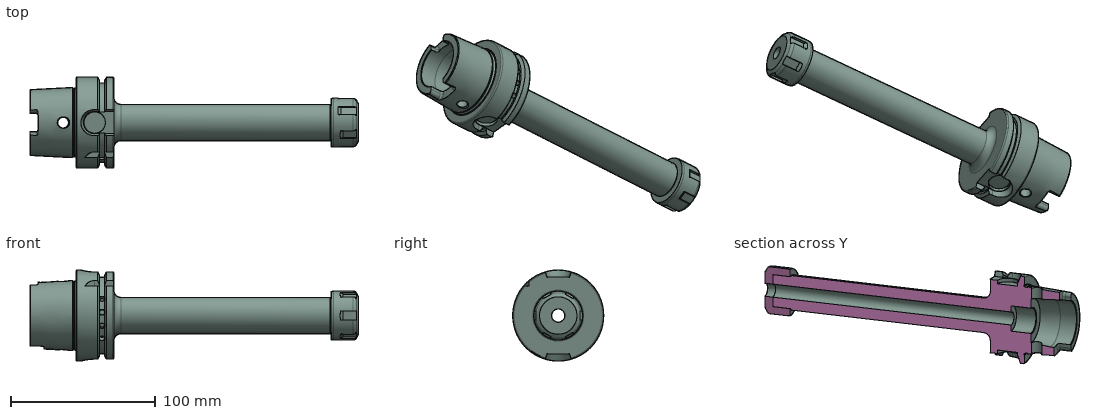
import cadquery as cq
import math


shank_length = 32.0
shank_end_radius = 22.8
shank_root_radius = 24.3
shank_edge_chamfer = 0.6
shank_taper = (shank_root_radius - shank_end_radius) / shank_length
relief_width = 2.6
relief_depth = 0.6
relief_floor_width = 0.7
face_recess_radius = 25.1
face_recess_depth = 0.4

entry_radius = 17.0
entry_chamfer = 0.4
entry_depth = 12.5
bore_depth = 27.0
bore_end_radius = 15.6
socket_radius = 8.9
socket_chamfer = 0.4
socket_depth = 15.0
coolant_radius = 4.5

drive_slot_half_width = 6.3
drive_slot_flare = 3.0
drive_slot_flare_start = 18.2
drive_slot_corner = 1.5
upper_drive_slot_depth = 5.7
lower_drive_slot_depth = 9.7
drive_slot_reach = shank_root_radius + 1.0

clamp_hole_radius = 3.7
clamp_sink_radius = 4.2
clamp_hole_x = -9.0

flange_radius = 31.5
flange_width = 26.0
flange_edge_round = 0.9
groove_x = 17.9
groove_rim_half_width = 3.1
groove_floor_half_width = 1.7
groove_shoulder_radius = 29.1
groove_floor_radius = 27.5

keyway_floor = 26.5
keyway_end_x = 12.8
keyway_half_width = 7.7
keyway_draft = 20.0
keyway_pocket_radius = 7.4
keyway_pocket_depth = 2.5

notch_offset = 20.25
notch_end_x = 12.7
notch_end_radius = 7.3

balance_hole_radius = 1.9
balance_hole_depth = 4.0
balance_hole_count = 4
balance_hole_pitch = 20.0
first_balance_angle = -35.0

shaft_radius = 12.6
shaft_fillet = 5.0

total_front_x = 195.2
nut_length = 19.0
nut_radius = 17.0
nut_rear_chamfer = 0.3
nut_rear_chamfer_length = 1.6
nut_front_cone_angle = math.radians(60)
nut_front_cone_length = 1.6
nut_shoulder_round = 2.6
nut_lip_thickness = 6.0

nut_slot_count = 6
nut_slot_width = 6.2
nut_slot_floor = 15.2
nut_slot_ramp = 2.1
nut_slot_length = 12.8
long_nut_slot_length = 14.4

nut_rear_x = total_front_x - nut_length
spigot_radius = 11.7
spigot_end_x = total_front_x - nut_lip_thickness
shaft_end_chamfer = shaft_radius - spigot_radius


def revolve_about_x(profile):
    return profile.close().revolve(360, (0, 0, 0), (1, 0, 0))


def holder_blank():
    """Turned outside of the shank, flange, shaft and spigot."""
    rim_left = groove_x - groove_rim_half_width
    rim_right = groove_x + groove_rim_half_width
    floor_left = groove_x - groove_floor_half_width
    floor_right = groove_x + groove_floor_half_width
    root_x = -relief_width
    arc_offset = shaft_fillet * (1 - math.sqrt(0.5))
    profile = (
        cq.Workplane("XY")
        .moveTo(-shank_length, 0)
        .lineTo(-shank_length, shank_end_radius - shank_edge_chamfer)
        .lineTo(-shank_length + shank_edge_chamfer, shank_end_radius)
        .lineTo(root_x, shank_root_radius)
        .lineTo(root_x + relief_depth, shank_root_radius - relief_depth)
        .lineTo(root_x + relief_depth + relief_floor_width, shank_root_radius - relief_depth)
        .lineTo(face_recess_depth, shank_root_radius)
        .lineTo(face_recess_depth, face_recess_radius)
        .lineTo(0, face_recess_radius)
        .lineTo(0, flange_radius)
        .lineTo(rim_left, flange_radius)
        .lineTo(floor_left, groove_shoulder_radius)
        .lineTo(floor_left, groove_floor_radius)
        .lineTo(floor_right, groove_floor_radius)
        .lineTo(floor_right, groove_shoulder_radius)
        .lineTo(rim_right, flange_radius)
        .lineTo(flange_width, flange_radius)
        .lineTo(flange_width, shaft_radius + shaft_fillet)
        .threePointArc(
            (flange_width + arc_offset, shaft_radius + arc_offset),
            (flange_width + shaft_fillet, shaft_radius),
        )
        .lineTo(nut_rear_x - shaft_end_chamfer, shaft_radius)
        .lineTo(nut_rear_x, spigot_radius)
        .lineTo(spigot_end_x, spigot_radius)
        .lineTo(spigot_end_x, 0)
    )
    blank = revolve_about_x(profile)
    for edge_x in (0, flange_width):
        rim = cq.selectors.BoxSelector(
            (edge_x - 0.1, -flange_radius - 1, -flange_radius - 1),
            (edge_x + 0.1, flange_radius + 1, flange_radius + 1),
            boundingbox=True,
        )
        rim_edge = blank.edges("%CIRCLE").edges(rim).edges(cq.selectors.RadiusNthSelector(-1))
        blank = rim_edge.fillet(flange_edge_round)
    return blank


def holder_bore():
    """Shank interior, coolant socket and the through hole."""
    end_x = -shank_length
    bore_floor_x = end_x + bore_depth
    socket_floor_x = bore_floor_x + socket_depth
    profile = (
        cq.Workplane("XY")
        .moveTo(end_x, 0)
        .lineTo(end_x, entry_radius + entry_chamfer)
        .lineTo(end_x + entry_chamfer, entry_radius)
        .lineTo(end_x + entry_depth, entry_radius)
        .lineTo(bore_floor_x, bore_end_radius)
        .lineTo(bore_floor_x, socket_radius + socket_chamfer)
        .lineTo(bore_floor_x + socket_chamfer, socket_radius)
        .lineTo(socket_floor_x, socket_radius)
        .lineTo(socket_floor_x, coolant_radius)
        .lineTo(spigot_end_x, coolant_radius)
        .lineTo(spigot_end_x, 0)
    )
    return revolve_about_x(profile)


def drive_slot(depth):
    """Slot in the +Z side of the shank end; its walls curve outwards towards the outside."""
    half = drive_slot_half_width
    outer = half + drive_slot_flare
    flare_top = drive_slot_flare_start + drive_slot_flare
    mid_y = half + drive_slot_flare * (1 - math.sqrt(0.5))
    mid_z = drive_slot_flare_start + drive_slot_flare * math.sqrt(0.5)
    return (
        cq.Workplane("YZ", origin=(-shank_length, 0, 0))
        .moveTo(-half, 0)
        .lineTo(-half, drive_slot_flare_start)
        .threePointArc((-mid_y, mid_z), (-outer, flare_top))
        .lineTo(-outer, drive_slot_reach)
        .lineTo(outer, drive_slot_reach)
        .lineTo(outer, flare_top)
        .threePointArc((mid_y, mid_z), (half, drive_slot_flare_start))
        .lineTo(half, 0)
        .close()
        .extrude(depth)
        .edges("|Z and >X")
        .fillet(drive_slot_corner)
    )


def clamp_hole():
    """Radial hole through the +Z shank wall, countersunk at the outside."""
    surface_z = shank_root_radius + clamp_hole_x * shank_taper
    sink_depth = clamp_sink_radius - clamp_hole_radius
    hole = cq.Workplane("XY", origin=(clamp_hole_x, 0, 0)).circle(clamp_hole_radius).extrude(surface_z)
    countersink = cq.Solid.makeCone(
        clamp_hole_radius,
        clamp_sink_radius + sink_depth,
        2 * sink_depth,
        cq.Vector(clamp_hole_x, 0, surface_z - sink_depth),
        cq.Vector(0, 0, 1),
    )
    return hole.union(cq.Workplane(countersink))


def keyway():
    """Drafted keyway in the +Z side of the flange, with its round pocket."""
    run_out = flange_width + flange_radius
    height = flange_radius - keyway_floor + 1.0
    floor_plane = cq.Workplane("XY", origin=(0, 0, keyway_floor))
    slot = (
        floor_plane.moveTo(run_out, keyway_half_width)
        .lineTo(keyway_end_x, keyway_half_width)
        .threePointArc(
            (keyway_end_x - keyway_half_width, 0),
            (keyway_end_x, -keyway_half_width),
        )
        .lineTo(run_out, -keyway_half_width)
        .close()
        .extrude(height, taper=-keyway_draft)
    )
    pocket = (
        floor_plane.center(keyway_end_x, 0)
        .circle(keyway_pocket_radius)
        .extrude(-keyway_pocket_depth)
    )
    return slot.union(pocket)


def orientation_notch():
    """Corner notch with a flat floor, ended by a quarter-round wall."""
    reach_y = 2 * notch_end_radius
    return (
        cq.Workplane("XY", origin=(0, -notch_offset, notch_offset))
        .moveTo(flange_width + 1, 0)
        .lineTo(notch_end_x, 0)
        .threePointArc(
            (notch_end_x - notch_end_radius, -notch_end_radius),
            (notch_end_x, -reach_y),
        )
        .lineTo(flange_width + 1, -reach_y)
        .close()
        .extrude(flange_radius)
    )


def balance_holes():
    """Row of short radial holes on the -Y side, as separate cutters."""
    holes = cq.Workplane("XY")
    for index in range(balance_hole_count):
        hole = (
            cq.Workplane("XZ", origin=(groove_x, -groove_floor_radius + balance_hole_depth, 0))
            .circle(balance_hole_radius)
            .extrude(balance_hole_depth + 1)
        )
        angle = first_balance_angle + index * balance_hole_pitch
        holes = holes.add(hole.rotate((0, 0, 0), (1, 0, 0), -angle))
    return holes


def make_holder():
    holder = holder_blank().cut(holder_bore())
    slot_depths = {0: upper_drive_slot_depth, 180: lower_drive_slot_depth}
    for angle, depth in slot_depths.items():
        holder = holder.cut(drive_slot(depth).rotate((0, 0, 0), (1, 0, 0), angle))
        holder = holder.cut(clamp_hole().rotate((0, 0, 0), (1, 0, 0), angle))
        holder = holder.cut(keyway().rotate((0, 0, 0), (1, 0, 0), angle))
    holder = holder.cut(orientation_notch())
    for hole in balance_holes().vals():
        holder = holder.cut(cq.Workplane(hole))
    return holder


def nut_slot(length):
    """Spanner slot on the -Y side of the nut, with a ramp at its closed end."""
    start_x = total_front_x - length
    outside = nut_radius + 1.0
    return (
        cq.Workplane("XY")
        .moveTo(start_x, -outside)
        .lineTo(start_x, -nut_radius)
        .lineTo(start_x + nut_slot_ramp, -nut_slot_floor)
        .lineTo(total_front_x, -nut_slot_floor)
        .lineTo(total_front_x, -outside)
        .close()
        .extrude(nut_slot_width / 2, both=True)
    )


def make_nut():
    cone_x = total_front_x - nut_front_cone_length
    round_center_x = cone_x - nut_shoulder_round * math.sin(nut_front_cone_angle)
    round_center_r = nut_radius - nut_shoulder_round
    cone_radius = round_center_r + nut_shoulder_round * math.cos(nut_front_cone_angle)
    front_radius = cone_radius - nut_front_cone_length * math.tan(nut_front_cone_angle)
    mid_angle = nut_front_cone_angle / 2
    round_middle = (
        round_center_x + nut_shoulder_round * math.sin(mid_angle),
        round_center_r + nut_shoulder_round * math.cos(mid_angle),
    )
    profile = (
        cq.Workplane("XY")
        .moveTo(nut_rear_x, spigot_radius)
        .lineTo(nut_rear_x, nut_radius - nut_rear_chamfer)
        .lineTo(nut_rear_x + nut_rear_chamfer_length, nut_radius)
        .lineTo(round_center_x, nut_radius)
        .threePointArc(round_middle, (cone_x, cone_radius))
        .lineTo(total_front_x, front_radius)
        .lineTo(total_front_x, coolant_radius)
        .lineTo(spigot_end_x, coolant_radius)
        .lineTo(spigot_end_x, spigot_radius)
    )
    nut = revolve_about_x(profile)
    for index in range(nut_slot_count):
        angle = index * 360 / nut_slot_count
        faces_front = math.cos(math.radians(angle)) > 0
        length = nut_slot_length if faces_front else long_nut_slot_length
        nut = nut.cut(nut_slot(length).rotate((0, 0, 0), (1, 0, 0), angle))
    return nut


holder = make_holder()
nut = make_nut()

result = cq.Compound.makeCompound([holder.val(), nut.val()])